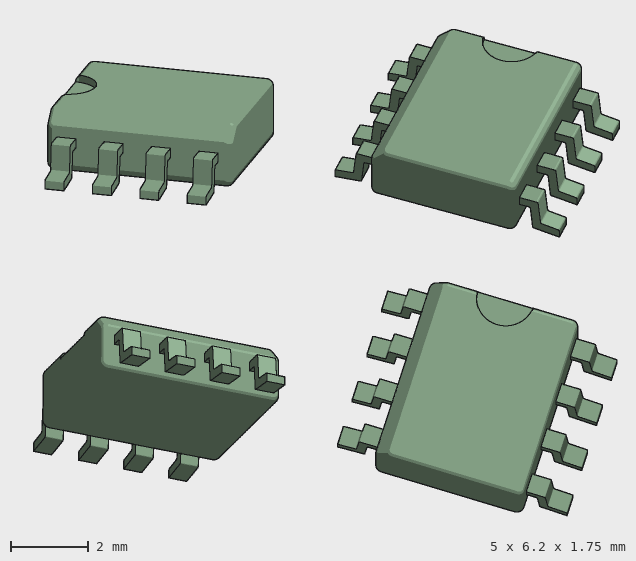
import cadquery as cq

LEAD_SPAN = 6.2
TOTAL_HEIGHT = 1.75

BODY_LENGTH = 5.0
BODY_WIDTH = 4.0
BODY_HEIGHT = 1.65
BODY_CHAMFER = 0.395
BODY_FILLET = 0.2
NOTCH_RADIUS = 0.75
NOTCH_DEPTH = BODY_FILLET

LEADS_PER_SIDE = 4
LEAD_PITCH = 1.27
LEAD_ROW_OFFSET = -0.045
LEAD_WIDTH = 0.51
LEAD_THICKNESS = 0.25
SHOULDER_HEIGHT = 1.04
SHOULDER_REACH = 2.51
SHANK_UNDER_REACH = 2.295
ANKLE_REACH = 2.585
ANKLE_HEIGHT = 0.315
HEEL_REACH = 2.36
HEEL_HEIGHT = 0.085
BEND_FILLET = 0.05
ROOT_DEPTH = 0.125


def make_body():
    """Block with the top -Y edge chamfered and every edge rounded."""
    block = cq.Workplane("XY").box(
        BODY_LENGTH, BODY_WIDTH, BODY_HEIGHT, centered=(True, True, False)
    )
    block = block.faces(">Z").edges("<Y").chamfer(BODY_CHAMFER)
    block = block.edges().fillet(BODY_FILLET)
    return block.translate((0, 0, TOTAL_HEIGHT - BODY_HEIGHT))


def make_notch():
    """Disc centred on the -X face; half of it bites into the body top."""
    return (
        cq.Workplane("XY", origin=(-BODY_LENGTH / 2, 0, TOTAL_HEIGHT - NOTCH_DEPTH))
        .circle(NOTCH_RADIUS)
        .extrude(NOTCH_DEPTH)
    )


def make_lead():
    """One lead on the +Y side, centred on X = 0, with its toe tip at Z = 0."""
    root = BODY_WIDTH / 2 - ROOT_DEPTH
    toe = LEAD_SPAN / 2
    profile = [
        (root, SHOULDER_HEIGHT),
        (SHOULDER_REACH, SHOULDER_HEIGHT),
        (ANKLE_REACH, ANKLE_HEIGHT),
        (toe, LEAD_THICKNESS),
        (toe, 0),
        (HEEL_REACH, HEEL_HEIGHT),
        (SHANK_UNDER_REACH, SHOULDER_HEIGHT - LEAD_THICKNESS),
        (root, SHOULDER_HEIGHT - LEAD_THICKNESS),
    ]
    lead = (
        cq.Workplane("YZ")
        .polyline(profile)
        .close()
        .extrude(LEAD_WIDTH / 2, both=True)
    )
    rounded_zone = cq.selectors.BoxSelector(
        (-LEAD_WIDTH, BODY_WIDTH / 2, HEEL_HEIGHT / 2),
        (LEAD_WIDTH, LEAD_SPAN, TOTAL_HEIGHT),
    )
    return lead.edges("|X").edges(rounded_zone).fillet(BEND_FILLET)


result = make_body().cut(make_notch())

lead = make_lead()
for index in range(LEADS_PER_SIDE):
    lead_x = LEAD_ROW_OFFSET + (index - (LEADS_PER_SIDE - 1) / 2) * LEAD_PITCH
    result = result.union(lead.translate((lead_x, 0, 0)))
    result = result.union(lead.mirror("XZ").translate((lead_x, 0, 0)))